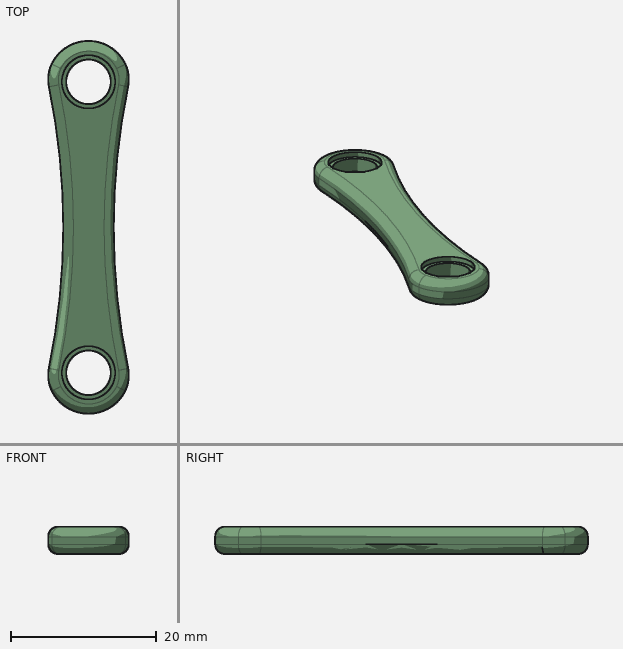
import cadquery as cq
import math

length = 51.2
width = 11.1
thickness = 3.8
waist_width = 6.95
edge_round = 1.4

nose_radius = 5.65
shoulder_radius = 4.85
eye_offset = length / 2 - nose_radius

bore_diameter = 6.1
top_seat_diameter = 7.3
top_seat_depth = 0.7
bottom_seat_diameter = 8.2
bottom_seat_depth = 1.2

shoulder_x = width / 2 - shoulder_radius
nose_angle = math.acos(shoulder_x / (nose_radius - shoulder_radius))
shoulder_y = eye_offset + (nose_radius - shoulder_radius) * math.sin(nose_angle)
nose_end = (nose_radius * math.cos(nose_angle), eye_offset + nose_radius * math.sin(nose_angle))

half_waist = waist_width / 2
waist_gap = half_waist - shoulder_x
side_radius = (shoulder_y**2 + waist_gap**2 - shoulder_radius**2) / (2 * (shoulder_radius - waist_gap))
side_angle = math.asin(shoulder_y / (side_radius + shoulder_radius))
side_end = (
    shoulder_x + shoulder_radius * math.cos(side_angle),
    shoulder_y - shoulder_radius * math.sin(side_angle),
)
shoulder_mid = (width / 2, shoulder_y)


def mirrored(point, x_sign, y_sign):
    """Return the point reflected into the chosen quadrant."""
    return (x_sign * point[0], y_sign * point[1])


def make_link():
    """Waisted bar, centred on the origin, with rounded top and bottom edges."""
    outline = cq.Workplane("XY").workplane(offset=-thickness / 2).moveTo(*mirrored(side_end, 1, -1))
    for side in (1, -1):
        outline = (
            outline.threePointArc((side * half_waist, 0), mirrored(side_end, side, side))
            .threePointArc(mirrored(shoulder_mid, side, side), mirrored(nose_end, side, side))
            .threePointArc((0, side * length / 2), mirrored(nose_end, -side, side))
            .threePointArc(mirrored(shoulder_mid, -side, side), mirrored(side_end, -side, side))
        )
    return outline.close().extrude(thickness).faces("|Z").edges().fillet(edge_round)


def cut_seats(body, face, seat_diameter, seat_depth):
    """Bore both eyes and counterbore them from the given flat face."""
    return (
        body.faces(face)
        .workplane(origin=(0, 0, 0))
        .pushPoints([(0, eye_offset), (0, -eye_offset)])
        .cboreHole(bore_diameter, seat_diameter, seat_depth)
    )


link = make_link()
link = cut_seats(link, ">Z", top_seat_diameter, top_seat_depth)
result = cut_seats(link, "<Z", bottom_seat_diameter, bottom_seat_depth)